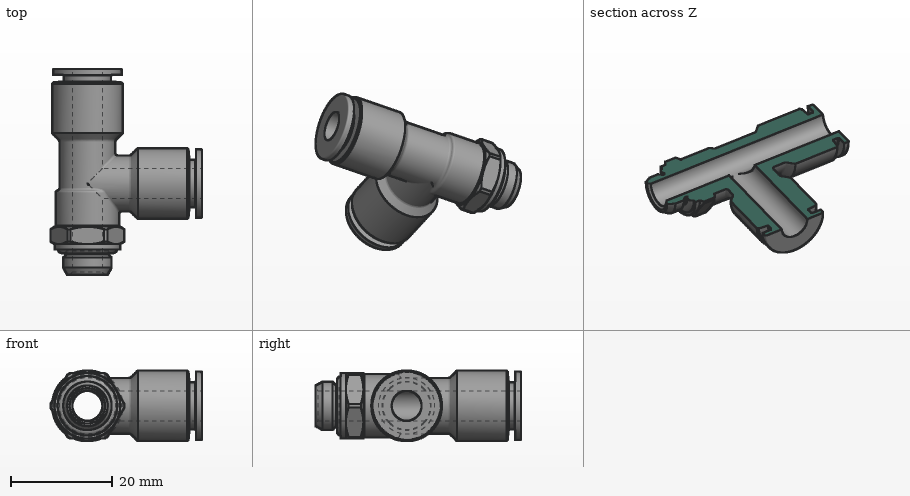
import cadquery as cq
import math


NECK_RADIUS = 5.55
SOCKET_RADIUS = 7.0
SOCKET_START = 9.95
SOCKET_END = 20.0
SOCKET_EDGE_LENGTH = 0.3
SOCKET_EDGE_DEPTH = 0.35
SOCKET_FACE_RISE = 0.2
NECK_BLEND = 0.5
COLLAR_RADIUS = 6.8
COLLAR_STEM_RADIUS = 4.7
COLLAR_THICKNESS = 1.2
COLLAR_EDGE_ROUND = 0.3
COLLAR_STEM_BEVEL = 0.15
PORT_LENGTH = 22.65

BARREL_RADIUS = 6.3
SHOULDER_START = -1.25
SHOULDER_ANGLE = 70.0
SHOULDER_ROUND = 0.5
BARREL_END_BEVEL = 0.2

HEX_SIDES = 6
HEX_TOP = -8.55
HEX_HEIGHT = 3.45
HEX_ACROSS_FLATS = 13.0
HEX_CORNER_RADIUS = 7.3
HEX_BEVEL_ANGLE = 32.0
HEX_BOTTOM = HEX_TOP - HEX_HEIGHT

FLANGE_RADIUS = 6.5
FLANGE_BOTTOM = -13.05
SEAL_CENTRE_RADIUS = 4.95
SEAL_SECTION_RADIUS = 0.95
SEAL_CENTRE = -12.85
SPIGOT_RADIUS = 4.8
RELIEF_RADIUS = 4.15
RELIEF_END = -14.0
SPIGOT_TAPER_START = -16.65
SPIGOT_END = -18.05
SPIGOT_END_RADIUS = 4.0

BORE_RADIUS = 2.95
MOUTH_RADIUS = 3.5

CROTCH_ROUND = 0.45


FULL_TURN = 360
EDGE_TOLERANCE = 0.001


def revolve_about_run(outline):
    """Spin a closed (radius, y) outline about the Y axis."""
    return cq.Workplane("XY").polyline(outline).close().revolve(FULL_TURN, (0, 0, 0), (0, 1, 0))


def ring_edges(body, radius, station):
    """Circular edges of the given radius centred on the Y axis at y = station."""
    def matches(edge):
        if edge.geomType() != "CIRCLE":
            return False
        same_radius = abs(edge.radius() - radius) < EDGE_TOLERANCE
        same_station = abs(edge.Center().y - station) < EDGE_TOLERANCE
        return same_radius and same_station

    return body.edges().filter(matches)


def neck_with_socket():
    """Neck from the origin, widening into the socket along +Y."""
    cone_start = SOCKET_START - (SOCKET_RADIUS - NECK_RADIUS)
    body = revolve_about_run([
        (0, 0),
        (NECK_RADIUS, 0),
        (NECK_RADIUS, cone_start),
        (SOCKET_RADIUS, SOCKET_START),
        (SOCKET_RADIUS, SOCKET_END - SOCKET_EDGE_LENGTH),
        (SOCKET_RADIUS - SOCKET_EDGE_DEPTH, SOCKET_END),
        (COLLAR_STEM_RADIUS, SOCKET_END + SOCKET_FACE_RISE),
        (0, SOCKET_END + SOCKET_FACE_RISE),
    ])
    return ring_edges(body, NECK_RADIUS, cone_start).fillet(NECK_BLEND)


def release_collar():
    """Flanged release collar that stands out of a socket along +Y."""
    flange_back = PORT_LENGTH - COLLAR_THICKNESS
    body = revolve_about_run([
        (0, SOCKET_END),
        (COLLAR_STEM_RADIUS, SOCKET_END),
        (COLLAR_STEM_RADIUS, flange_back - COLLAR_STEM_BEVEL),
        (COLLAR_STEM_RADIUS + COLLAR_STEM_BEVEL, flange_back),
        (COLLAR_RADIUS, flange_back),
        (COLLAR_RADIUS, PORT_LENGTH),
        (0, PORT_LENGTH),
    ])
    return ring_edges(body, COLLAR_RADIUS, PORT_LENGTH).fillet(COLLAR_EDGE_ROUND)


def along_branch(body):
    """Turn a body built along +Y so that it points along +X."""
    return body.rotate((0, 0, 0), (0, 0, 1), -90)


def barrel():
    """Wider barrel under the run's neck, with a rounded sloping shoulder."""
    shoulder_length = (BARREL_RADIUS - NECK_RADIUS) / math.tan(math.radians(SHOULDER_ANGLE))
    shoulder_end = SHOULDER_START - shoulder_length
    body = revolve_about_run([
        (0, 0),
        (NECK_RADIUS, 0),
        (NECK_RADIUS, SHOULDER_START),
        (BARREL_RADIUS, shoulder_end),
        (BARREL_RADIUS, HEX_TOP + BARREL_END_BEVEL),
        (BARREL_RADIUS - BARREL_END_BEVEL, HEX_TOP),
        (0, HEX_TOP),
    ])
    body = ring_edges(body, NECK_RADIUS, SHOULDER_START).fillet(SHOULDER_ROUND)
    return ring_edges(body, BARREL_RADIUS, shoulder_end).fillet(SHOULDER_ROUND)


def moulded_body():
    """Run and branch with the blend between them."""
    run = neck_with_socket().union(barrel())
    tee = run.union(along_branch(neck_with_socket()))

    def in_crotch(edge):
        """Curved edges on the branch side of the run, inside the run's own width and the neck's height."""
        box = edge.BoundingBox()
        curved = edge.geomType() in ("ELLIPSE", "BSPLINE")
        within_run = box.xmin > -EDGE_TOLERANCE and box.xmax < BARREL_RADIUS + EDGE_TOLERANCE
        below_neck_top = box.ymax < NECK_RADIUS + EDGE_TOLERANCE
        return curved and within_run and below_neck_top

    return tee.edges().filter(in_crotch).fillet(CROTCH_ROUND)


def hexagon():
    """Hexagon with flats facing +Z and -Z, corners trimmed and both ends bevelled."""
    across_corners = HEX_ACROSS_FLATS / math.cos(math.pi / HEX_SIDES)
    prism = (
        cq.Workplane("XZ", origin=(0, HEX_TOP, 0))
        .polygon(HEX_SIDES, across_corners)
        .extrude(HEX_HEIGHT)
    )
    end_radius = HEX_ACROSS_FLATS / 2
    bevel_length = (HEX_CORNER_RADIUS - end_radius) * math.tan(math.radians(HEX_BEVEL_ANGLE))
    envelope = revolve_about_run([
        (0, HEX_TOP),
        (end_radius, HEX_TOP),
        (HEX_CORNER_RADIUS, HEX_TOP - bevel_length),
        (HEX_CORNER_RADIUS, HEX_BOTTOM + bevel_length),
        (end_radius, HEX_BOTTOM),
        (0, HEX_BOTTOM),
    ])
    return prism.intersect(envelope)


def spigot():
    """Sealing flange and the threaded spigot below it, left without thread form."""
    return revolve_about_run([
        (0, HEX_BOTTOM),
        (FLANGE_RADIUS, HEX_BOTTOM),
        (FLANGE_RADIUS, FLANGE_BOTTOM),
        (RELIEF_RADIUS, FLANGE_BOTTOM),
        (RELIEF_RADIUS, RELIEF_END),
        (SPIGOT_RADIUS, RELIEF_END - (SPIGOT_RADIUS - RELIEF_RADIUS)),
        (SPIGOT_RADIUS, SPIGOT_TAPER_START),
        (SPIGOT_END_RADIUS, SPIGOT_END),
        (0, SPIGOT_END),
    ])


def sealing_ring():
    """Round-section ring seated against the underside of the flange."""
    return (
        cq.Workplane("XY")
        .center(SEAL_CENTRE_RADIUS, SEAL_CENTRE)
        .circle(SEAL_SECTION_RADIUS)
        .revolve(FULL_TURN, (-SEAL_CENTRE_RADIUS, 0, 0), (-SEAL_CENTRE_RADIUS, 1, 0))
    )


def run_bore():
    """Bore through the whole run, countersunk at the spigot mouth."""
    countersink_end = SPIGOT_END + (MOUTH_RADIUS - BORE_RADIUS)
    return revolve_about_run([
        (0, SPIGOT_END),
        (MOUTH_RADIUS, SPIGOT_END),
        (BORE_RADIUS, countersink_end),
        (BORE_RADIUS, PORT_LENGTH),
        (0, PORT_LENGTH),
    ])


def branch_bore():
    """Bore from the branch end to the run axis."""
    return cq.Workplane("YZ").circle(BORE_RADIUS).extrude(PORT_LENGTH)


result = moulded_body()
for piece in (release_collar(), along_branch(release_collar()), hexagon(), spigot(), sealing_ring()):
    result = result.union(piece)
for bore in (run_bore(), branch_bore()):
    result = result.cut(bore)